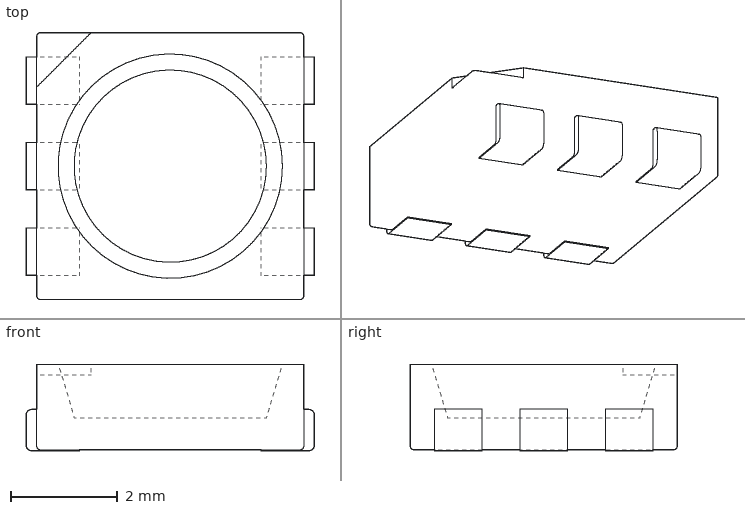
import cadquery as cq

BODY_SIDE = 5.0
BODY_HEIGHT = 1.6
EDGE_RADIUS = 0.07

CUP_TOP_DIAMETER = 4.2
CUP_FLOOR_DIAMETER = 3.6
CUP_DEPTH = 1.0

NOTCH_LEG = 1.02
NOTCH_DEPTH = 0.2

LEAD_SPAN = 5.4
LEAD_WIDTH = 0.89
LEAD_PITCH = 1.6
LEAD_HEIGHT = 0.78
LEAD_FOOT_LENGTH = 1.0
LEAD_RADIUS = 0.11
LEAD_STANDOFF = 0.02
LEADS_PER_SIDE = 3

HALF_SIDE = BODY_SIDE / 2
BODY_TOP = LEAD_STANDOFF + BODY_HEIGHT


def make_body():
    """Square housing with rounded vertical and bottom edges."""
    body = cq.Workplane("XY").workplane(offset=LEAD_STANDOFF)
    body = body.rect(BODY_SIDE, BODY_SIDE).extrude(BODY_HEIGHT)
    return body.edges("|Z or <Z").fillet(EDGE_RADIUS)


def make_cup():
    """Conical cavity that narrows from the top face to a flat floor."""
    cup = cq.Workplane("XY").workplane(offset=BODY_TOP).circle(CUP_TOP_DIAMETER / 2)
    cup = cup.workplane(offset=-CUP_DEPTH).circle(CUP_FLOOR_DIAMETER / 2)
    return cup.loft(ruled=True)


def make_notch():
    """Triangular prism that marks the polarity corner."""
    corner = (-HALF_SIDE, HALF_SIDE)
    outline = [
        corner,
        (corner[0] + NOTCH_LEG, corner[1]),
        (corner[0], corner[1] - NOTCH_LEG),
    ]
    notch = cq.Workplane("XY").workplane(offset=BODY_TOP - NOTCH_DEPTH)
    return notch.polyline(outline).close().extrude(NOTCH_DEPTH)


def make_lead(side, y):
    """Lead on one side (-1 or +1): block against the wall plus a foot under the body."""
    tip_x = side * LEAD_SPAN / 2
    wall_depth = (LEAD_SPAN - BODY_SIDE) / 2 + EDGE_RADIUS
    block_x = tip_x - side * wall_depth / 2
    block = cq.Workplane("XY").box(wall_depth, LEAD_WIDTH, LEAD_HEIGHT, centered=(True, True, False))
    block = block.translate((block_x, y, 0))
    outer_face = ">X" if side > 0 else "<X"
    block = block.faces(outer_face).edges("|Y").fillet(LEAD_RADIUS)

    foot_length = LEAD_FOOT_LENGTH - LEAD_RADIUS
    foot_x = tip_x - side * (LEAD_RADIUS + foot_length / 2)
    foot = cq.Workplane("XY").box(foot_length, LEAD_WIDTH, LEAD_STANDOFF, centered=(True, True, False))
    return block.union(foot.translate((foot_x, y, 0)))


result = make_body().cut(make_cup()).cut(make_notch())
for side in (-1, 1):
    for index in range(LEADS_PER_SIDE):
        lead_y = (index - (LEADS_PER_SIDE - 1) / 2) * LEAD_PITCH
        result = result.union(make_lead(side, lead_y))